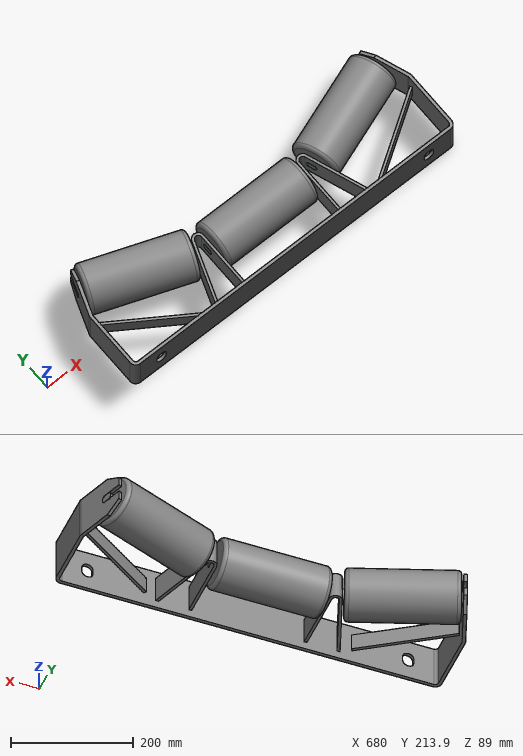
import cadquery as cq
import math


frame_length = 680.0
frame_thickness = 6.0
strip_width = 80.0
frame_bend_radius = 6.0
wing_top = 206.0
wing_chamfer_length = 28.5
wing_chamfer_width = 16.0
mount_slot_spacing = 566.0
mount_slot_width = 20.0
mount_slot_length = 28.0

tilt = 20.0
roller_diameter = 89.0
roller_length = 192.0
roller_fillet = 7.0
shaft_diameter = 20.0
shaft_flats = 14.0
roller_gap = 3.3
middle_axis_y = 100.0

bracket_thickness = 5.0
bracket_width = 50.0
bracket_top = 127.0
bracket_bend_radius = 6.4
axis_below_bend = 13.0

strut_length = 180.0
strut_thickness = 5.0
strut_width = 31.0
strut_angle = 33.4

cos_tilt = math.cos(math.radians(tilt))
sin_tilt = math.sin(math.radians(tilt))
axis_direction = cq.Vector(cos_tilt, -sin_tilt)
wing_direction = cq.Vector(sin_tilt, cos_tilt)

half_length = frame_length / 2
plate_offset = roller_length / 2 + roller_gap
bracket_outer_radius = bracket_bend_radius + bracket_thickness
bend_centre = cq.Vector(-plate_offset - bracket_outer_radius, bracket_top - bracket_outer_radius)
wing_roller_centre = (
    bend_centre
    - axis_direction * (bracket_outer_radius + plate_offset)
    - wing_direction * axis_below_bend
)

wing_face = wing_roller_centre.dot(axis_direction) - plate_offset - frame_thickness
wing_bend_y = (-half_length * cos_tilt - wing_face) / sin_tilt
wing_length = (wing_top - wing_bend_y) / cos_tilt


def mirrored(body):
    """The same body on the other side of the YZ plane."""
    return body.mirror("YZ")


def place_on_wing_axis(body):
    """Move a body built about the origin, with its axis on X, onto the left wing roller axis."""
    return body.rotate((0, 0, 0), (0, 0, 1), -tilt).translate(wing_roller_centre)


def extrude_strip(outline, width):
    """Extrude a closed XY outline to the given width, centred on Z = 0."""
    return outline.extrude(width / 2, both=True)


def make_roller(left_plate, right_plate):
    """Roller about the origin, its shaft ends flush with the far faces of plates of these thicknesses."""
    shell = (
        cq.Workplane("YZ", origin=(-roller_length / 2, 0, 0))
        .circle(roller_diameter / 2)
        .extrude(roller_length)
        .edges()
        .fillet(roller_fillet)
    )
    round_shaft = (
        cq.Workplane("YZ", origin=(-plate_offset, 0, 0))
        .circle(shaft_diameter / 2)
        .extrude(2 * plate_offset)
    )
    shaft_length = left_plate + 2 * plate_offset + right_plate
    flatted_shaft = (
        cq.Workplane("YZ", origin=(-plate_offset - left_plate, 0, 0))
        .circle(shaft_diameter / 2)
        .extrude(shaft_length)
        .intersect(cq.Workplane("XY").box(2 * shaft_length, shaft_diameter, shaft_flats))
    )
    return shell.union(round_shaft).union(flatted_shaft)


def make_bent_strip():
    """Left half of the frame strip: base bar, side wall and tilted wing."""
    outer_corner = cq.Vector(-half_length, 0)
    inner_corner = outer_corner + cq.Vector(frame_thickness, frame_thickness)
    outer_bend = cq.Vector(-half_length, wing_bend_y)
    inner_bend_drop = frame_thickness * math.tan(math.radians(tilt / 2))
    inner_bend = outer_bend + cq.Vector(frame_thickness, -inner_bend_drop)
    outer_tip = outer_bend + wing_direction * wing_length
    inner_tip = outer_tip + axis_direction * frame_thickness
    outline = [
        cq.Vector(0, 0), outer_corner, outer_bend, outer_tip,
        inner_tip, inner_bend, inner_corner, cq.Vector(0, frame_thickness),
    ]
    strip = extrude_strip(cq.Workplane("XY").polyline(outline).close(), strip_width)

    outer_bend_radius = frame_bend_radius + frame_thickness
    bends = [
        (outer_corner, outer_bend_radius),
        (inner_corner, frame_bend_radius),
        (outer_bend, outer_bend_radius),
        (inner_bend, frame_bend_radius),
    ]
    for corner, radius in bends:
        strip = strip.edges(cq.NearestToPointSelector(corner.toTuple())).fillet(radius)
    return strip


def make_wing_tip_cutter():
    """The two corners removed from the left wing tip and the open slot that admits the shaft."""
    plate_centre_x = -plate_offset - frame_thickness / 2
    tip_height = wing_length - (wing_roller_centre - cq.Vector(-half_length, wing_bend_y)).dot(wing_direction)
    half_width = strip_width / 2
    cutter_depth = 2 * frame_thickness
    plate_plane = cq.Workplane("YZ", origin=(plate_centre_x, 0, 0))

    corner = (
        plate_plane
        .moveTo(tip_height, half_width)
        .lineTo(tip_height - wing_chamfer_length, half_width)
        .lineTo(tip_height, half_width - wing_chamfer_width)
        .close()
        .extrude(cutter_depth / 2, both=True)
    )
    slot = (
        plate_plane
        .center(tip_height / 2, 0)
        .rect(tip_height, shaft_flats)
        .extrude(cutter_depth / 2, both=True)
    )
    return place_on_wing_axis(slot.union(corner).union(corner.mirror("XY")))


def make_frame(wing_roller):
    left_half = make_bent_strip().cut(make_wing_tip_cutter()).cut(wing_roller)
    mount_slots = (
        cq.Workplane("XZ")
        .pushPoints([(-mount_slot_spacing / 2, 0), (mount_slot_spacing / 2, 0)])
        .slot2D(mount_slot_length, mount_slot_width, 90)
        .extrude(-frame_thickness)
    )
    return left_half.union(mirrored(left_half)).cut(mount_slots)


def make_bracket(middle_roller, wing_roller):
    """Left bracket: an upright leg and a sloping leg joined by a bend, standing on the base bar."""
    def sloping_leg_ends(radius):
        top = bend_centre - axis_direction * radius
        foot = top - wing_direction * ((top.y - frame_thickness) / cos_tilt)
        return (top.x, top.y), (foot.x, foot.y)

    outer_top, outer_foot = sloping_leg_ends(bracket_outer_radius)
    inner_top, inner_foot = sloping_leg_ends(bracket_bend_radius)
    outer_x = bend_centre.x + bracket_outer_radius
    inner_x = bend_centre.x + bracket_bend_radius
    outline = (
        cq.Workplane("XY")
        .moveTo(outer_x, frame_thickness)
        .lineTo(outer_x, bend_centre.y)
        .threePointArc((bend_centre.x, bend_centre.y + bracket_outer_radius), outer_top)
        .lineTo(*outer_foot)
        .lineTo(*inner_foot)
        .lineTo(*inner_top)
        .threePointArc((bend_centre.x, bend_centre.y + bracket_bend_radius), (inner_x, bend_centre.y))
        .lineTo(inner_x, frame_thickness)
        .close()
    )
    return extrude_strip(outline, bracket_width).cut(middle_roller).cut(wing_roller)


def make_strut():
    """Left strut: a flat bar whose lower edges rest on the side wall and the base bar."""
    strut_rise = strut_length * math.sin(math.radians(strut_angle))
    return (
        cq.Workplane("XY")
        .box(strut_length, strut_thickness, strut_width, centered=(False, False, True))
        .rotate((0, 0, 0), (0, 0, 1), -strut_angle)
        .translate((-half_length + frame_thickness, frame_thickness + strut_rise, 0))
    )


middle_roller = make_roller(bracket_thickness, bracket_thickness).translate((0, middle_axis_y, 0))
wing_roller = place_on_wing_axis(make_roller(frame_thickness, bracket_thickness))
frame = make_frame(wing_roller)
bracket = make_bracket(middle_roller, wing_roller)
strut = make_strut()

bodies = [frame.val(), middle_roller.val()]
for left_body in (wing_roller, bracket, strut):
    bodies.append(left_body.val())
    bodies.append(mirrored(left_body).val())

result = cq.Compound.makeCompound(bodies)